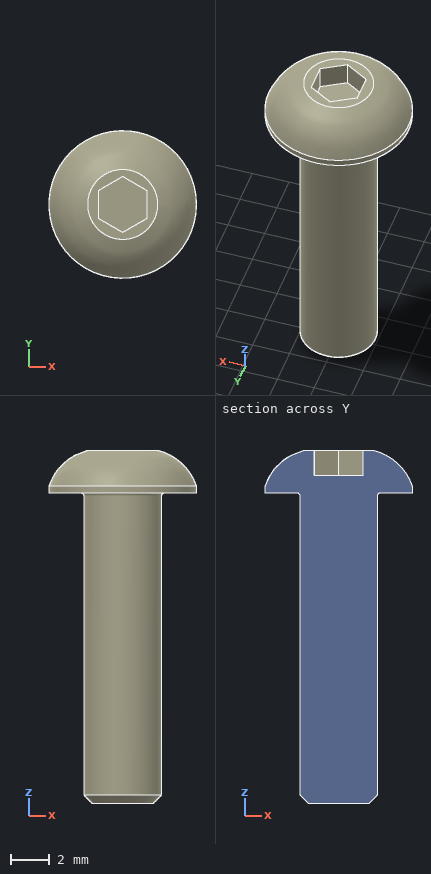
import cadquery as cq
import math

total_length = 18.2
head_height = 2.2
shank_length = total_length - head_height
head_radius = 3.8
shank_radius = 2.0

rim_height = 0.36
crown_radius = 1.8
dome_bulge = 0.35

neck_fillet = 0.16
tip_chamfer_height = 0.44
tip_chamfer_width = 0.44

socket_across_flats = 2.5
socket_depth = 1.3


def dome_midpoint():
    """Point halfway along the dome arc, offset square to its chord."""
    run = head_radius - crown_radius
    rise = head_height - rim_height
    chord = math.hypot(run, rise)
    radius = (head_radius + crown_radius) / 2 + dome_bulge * rise / chord
    height = (head_height + rim_height) / 2 + dome_bulge * run / chord
    return radius, height


def make_body():
    """Head and shank revolved from one half profile."""
    fillet_drop = neck_fillet * (1 - math.sqrt(0.5))
    profile = (
        cq.Workplane("XZ")
        .moveTo(0, -shank_length)
        .lineTo(shank_radius - tip_chamfer_width, -shank_length)
        .lineTo(shank_radius, -shank_length + tip_chamfer_height)
        .lineTo(shank_radius, -neck_fillet)
        .threePointArc(
            (shank_radius + fillet_drop, -fillet_drop),
            (shank_radius + neck_fillet, 0),
        )
        .lineTo(head_radius, 0)
        .lineTo(head_radius, rim_height)
        .threePointArc(dome_midpoint(), (crown_radius, head_height))
        .lineTo(0, head_height)
        .close()
    )
    return profile.revolve(360, (0, 0, 0), (0, 1, 0))


def make_socket():
    """Hexagonal prism with two corners on the Y axis."""
    across_corners = socket_across_flats / math.cos(math.pi / 6)
    return (
        cq.Workplane("XY")
        .workplane(offset=head_height - socket_depth)
        .transformed(rotate=(0, 0, 90))
        .polygon(6, across_corners)
        .extrude(socket_depth)
    )


result = make_body().cut(make_socket())